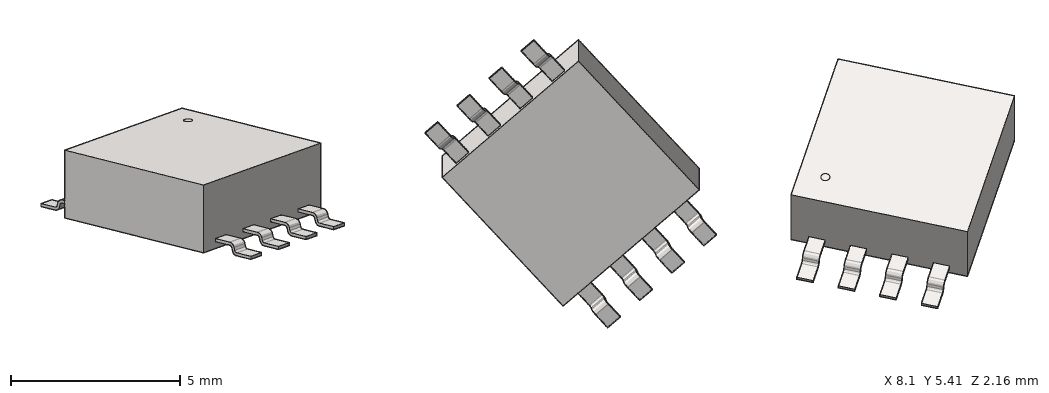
import cadquery as cq
import math

overall_length = 8.1
overall_height = 2.16
housing_length = 5.36
housing_width = 5.41
standoff = 0.06

leads_per_side = 4
lead_pitch = 1.27
lead_width = 0.5
lead_thickness = 0.1
lead_height = 0.37
foot_length = 0.54
bend_inner_radius = 0.08
bend_angle = math.radians(75)

marker_diameter = 0.27
marker_depth = 0.1
marker_from_left = 0.915
marker_from_back = 0.81

marker_x = -housing_length / 2 + marker_from_left
marker_y = housing_width / 2 - marker_from_back


def make_marker():
    return (
        cq.Workplane("XY", origin=(marker_x, marker_y, overall_height - marker_depth))
        .circle(marker_diameter / 2)
        .extrude(marker_depth)
    )


def make_housing(marker):
    block = cq.Workplane("XY", origin=(0, 0, standoff)).box(
        housing_length, housing_width, overall_height - standoff, centered=(True, True, False)
    )
    return block.cut(marker)


def make_lead(y):
    """Left-hand lead at y: a flat strip swept from the foot tip to the housing side."""
    tip_x = -overall_length / 2
    foot_z = lead_thickness / 2
    shoulder_z = lead_height - lead_thickness / 2

    bend_radius = bend_inner_radius + lead_thickness / 2
    bend_run = bend_radius * math.sin(bend_angle)
    bend_rise = bend_radius * (1 - math.cos(bend_angle))
    slope_rise = shoulder_z - foot_z - 2 * bend_rise
    slope_run = slope_rise / math.tan(bend_angle)

    foot_end_x = tip_x + foot_length
    slope_start_x = foot_end_x + bend_run
    slope_end_x = slope_start_x + slope_run
    shoulder_start_x = slope_end_x + bend_run

    centre_line = (
        cq.Workplane("XZ", origin=(0, y, 0))
        .moveTo(tip_x, foot_z)
        .lineTo(foot_end_x, foot_z)
        .tangentArcPoint((slope_start_x, foot_z + bend_rise), relative=False)
        .lineTo(slope_end_x, shoulder_z - bend_rise)
        .tangentArcPoint((shoulder_start_x, shoulder_z), relative=False)
        .lineTo(-housing_length / 2, shoulder_z)
    )
    return (
        cq.Workplane("YZ", origin=(tip_x, y, foot_z))
        .rect(lead_width, lead_thickness)
        .sweep(centre_line)
    )


def make_leads():
    leads = []
    for i in range(leads_per_side):
        y = (i - (leads_per_side - 1) / 2) * lead_pitch
        left_lead = make_lead(y)
        right_lead = left_lead.mirror("YZ")
        leads += [left_lead.val(), right_lead.val()]
    return leads


marker = make_marker()
housing = make_housing(marker)
leads = make_leads()

result = cq.Compound.makeCompound([housing.val(), marker.val(), *leads])